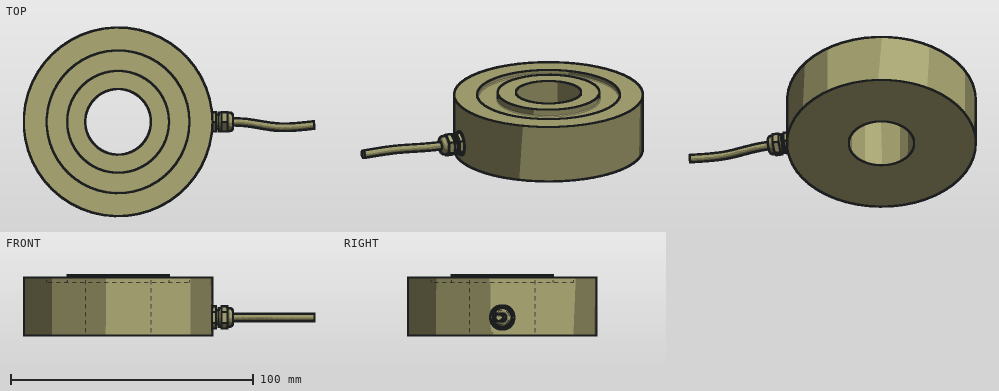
import cadquery as cq
import math

housing_diameter = 78.0
housing_height = 24.0
hub_diameter = 42.0
hub_height = 25.0
bore_diameter = 27.0
recess_diameter = 59.0
recess_depth = 2.0
corner_fillet = 0.4

gland_axis_height = 7.5
spotface_diameter = 10.0
hex_across_flats = 8.0
base_hex_end = 40.5
neck_diameter = 6.0
barrel_diameter = 7.8
neck_end = 41.5
nut_start = 42.6
nut_end = 45.1
gland_end = 47.5
gland_end_fillet = 1.65

cable_diameter = 3.2
cable_bend_point = (66.0, -2.2)
cable_end = (81.0, -1.3)
cable_end_slope = 0.11

housing_radius = housing_diameter / 2
spotface_x = math.sqrt(housing_radius**2 - (spotface_diameter / 2) ** 2)

arc_setback = 1 - math.sqrt(0.5)


def plane_across_x(x):
    """Plane facing +X on the gland axis, with its local X along +Y."""
    return cq.Workplane(cq.Plane(origin=(x, 0, gland_axis_height), xDir=(0, 1, 0), normal=(1, 0, 0)))


def make_housing():
    """Ring with a raised hub inside an annular recess and a flat seat for the gland."""
    floor = housing_height - recess_depth
    hub_radius = hub_diameter / 2
    recess_radius = recess_diameter / 2
    ring = (
        cq.Workplane("XZ")
        .moveTo(bore_diameter / 2, 0)
        .lineTo(housing_radius, 0)
        .lineTo(housing_radius, housing_height)
        .lineTo(recess_radius, housing_height)
        .lineTo(recess_radius, floor + corner_fillet)
        .threePointArc(
            (recess_radius - corner_fillet * arc_setback, floor + corner_fillet * arc_setback),
            (recess_radius - corner_fillet, floor),
        )
        .lineTo(hub_radius + corner_fillet, floor)
        .threePointArc(
            (hub_radius + corner_fillet * arc_setback, floor + corner_fillet * arc_setback),
            (hub_radius, floor + corner_fillet),
        )
        .lineTo(hub_radius, hub_height)
        .lineTo(bore_diameter / 2, hub_height)
        .close()
        .revolve(360, (0, 0, 0), (0, 1, 0))
    )
    spotface = plane_across_x(spotface_x).circle(spotface_diameter / 2).extrude(housing_radius - spotface_x)
    return ring.cut(spotface)


def make_hexagon(start, end):
    """Hexagonal prism along X with two corners on the vertical through the gland axis."""
    across_corners = hex_across_flats / math.cos(math.radians(30))
    return plane_across_x(start).transformed(rotate=(0, 0, 90)).polygon(6, across_corners).extrude(end - start)


def make_gland():
    """Base hexagon, round neck, clamping nut and rounded end."""
    neck_radius = neck_diameter / 2
    barrel_radius = barrel_diameter / 2
    barrel = (
        cq.Workplane(cq.Plane(origin=(0, 0, gland_axis_height), xDir=(1, 0, 0), normal=(0, -1, 0)))
        .moveTo(base_hex_end, 0)
        .lineTo(base_hex_end, neck_radius)
        .lineTo(neck_end, neck_radius)
        .lineTo(neck_end, barrel_radius)
        .lineTo(gland_end - gland_end_fillet, barrel_radius)
        .threePointArc(
            (
                gland_end - gland_end_fillet * arc_setback,
                barrel_radius - gland_end_fillet * arc_setback,
            ),
            (gland_end, barrel_radius - gland_end_fillet),
        )
        .lineTo(gland_end, 0)
        .close()
        .revolve(360, (0, 0, 0), (1, 0, 0))
    )
    return barrel.union(make_hexagon(spotface_x, base_hex_end)).union(make_hexagon(nut_start, nut_end))


def make_cable():
    """Round cable leaving the gland end along +X and bending in a horizontal plane."""
    path = (
        cq.Workplane("XY", origin=(0, 0, gland_axis_height))
        .spline([(gland_end, 0), cable_bend_point, cable_end], tangents=[(1, 0), (1, cable_end_slope)])
    )
    return plane_across_x(gland_end).circle(cable_diameter / 2).sweep(path)


housing = make_housing()
gland = make_gland()
cable = make_cable()

result = cq.Compound.makeCompound([housing.val(), gland.val(), cable.val()])